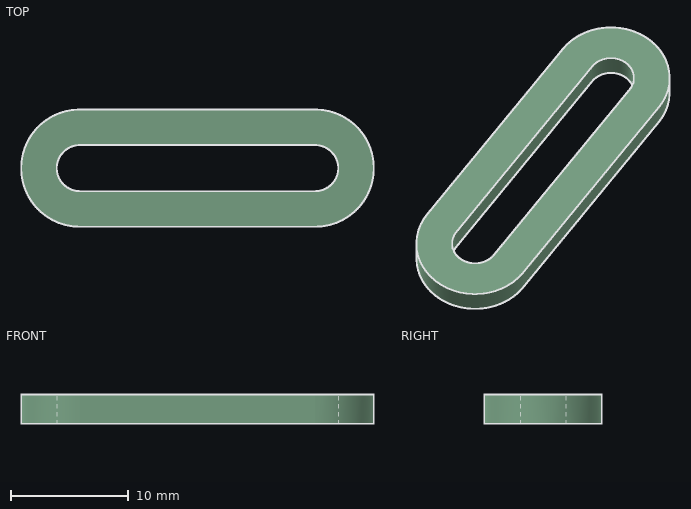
import cadquery as cq

length = 30.0
width = 10.0
thickness = 2.5
slot_width = 3.9

wall = (width - slot_width) / 2
slot_length = length - 2 * wall

link = cq.Workplane("XY").slot2D(length, width).extrude(thickness)

result = link.faces(">Z").workplane().slot2D(slot_length, slot_width).cutThruAll()